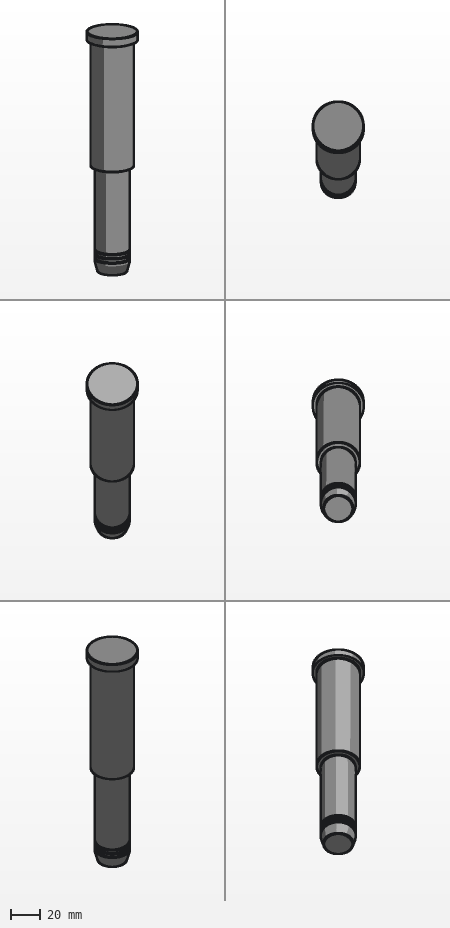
import cadquery as cq
import math

total_length = 171.0
head_thickness = 6.0
body_length = 90.0

head_diameter = 35.0
body_diameter = 30.0
pin_diameter = 24.0

head_chamfer = 0.5
body_chamfer = 0.5
tip_chamfer = 0.5

relief_width = 1.0
relief_depth = 0.5

taper_length = 7.0
taper_angle = 15.0

groove_width = 1.0
groove_depth = 0.35

groove_count = 3
groove_pitch = 3.0
groove_gap_above_taper = 2.0

head_bottom = total_length - head_thickness
body_bottom = head_bottom - body_length
first_groove_bottom = taper_length + groove_gap_above_taper


def cylinder(diameter, bottom, top):
    """Solid cylinder on the Z axis between two heights."""
    return cq.Workplane("XY").workplane(offset=bottom).circle(diameter / 2).extrude(top - bottom)


def square_ring_cut(diameter, depth, bottom, width):
    """Ring that cuts a rectangular groove into a shaft of the given diameter."""
    outer = cylinder(diameter, bottom, bottom + width)
    return outer.cut(cylinder(diameter - 2 * depth, bottom, bottom + width))


def sloped_ring_cut(diameter, bottom):
    """Ring of trapezoidal section that cuts a groove with 45 degree walls and a narrow flat floor."""
    shaft_radius = diameter / 2
    floor_radius = shaft_radius - groove_depth
    top = bottom + groove_width
    return (
        cq.Workplane("XZ")
        .moveTo(shaft_radius, bottom)
        .lineTo(floor_radius, bottom + groove_depth)
        .lineTo(floor_radius, top - groove_depth)
        .lineTo(shaft_radius, top)
        .close()
        .revolve(360, (0, 0, 0), (0, 1, 0))
    )


def make_head():
    """Flat head with a broken top edge."""
    return cylinder(head_diameter, head_bottom, total_length).faces(">Z").edges().chamfer(head_chamfer)


def make_body():
    """Large shaft with a broken lower edge and a groove under the head."""
    body = cylinder(body_diameter, body_bottom, head_bottom)
    body = body.faces("<Z").edges().chamfer(body_chamfer)
    return body.cut(sloped_ring_cut(body_diameter, head_bottom - groove_width))


def make_tip():
    """Tapered lead-in, narrowing downwards, with a broken end edge."""
    pin_radius = pin_diameter / 2
    end_radius = pin_radius - taper_length * math.tan(math.radians(taper_angle))
    tip = (
        cq.Workplane("XZ")
        .lineTo(end_radius, 0)
        .lineTo(pin_radius, taper_length)
        .lineTo(0, taper_length)
        .close()
        .revolve(360, (0, 0, 0), (0, 1, 0))
    )
    return tip.faces("<Z").edges().chamfer(tip_chamfer)


def make_pin():
    """Small shaft with a relief groove at the shoulder and ring grooves near the tip."""
    pin = cylinder(pin_diameter, taper_length, body_bottom)
    pin = pin.cut(square_ring_cut(pin_diameter, relief_depth, body_bottom - relief_width, relief_width))
    for index in range(groove_count):
        groove_bottom = first_groove_bottom + index * groove_pitch
        pin = pin.cut(sloped_ring_cut(pin_diameter, groove_bottom))
    return pin


result = make_head().union(make_body()).union(make_pin()).union(make_tip())